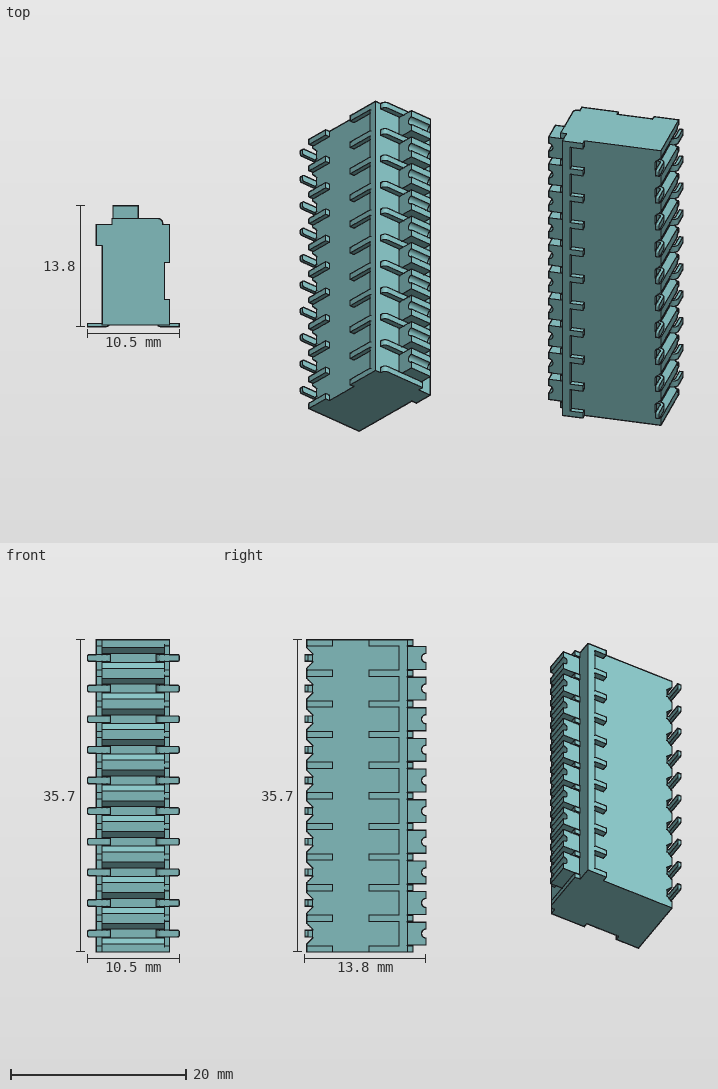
import cadquery as cq

pole_count = 10
length = 35.7
rib_width = 0.7
pitch = (length - rib_width) / pole_count

core_half_width = 3.57
core_depth = 11.5
left_flange_x = -4.25
right_flange_x = 4.15
flange_front = 10.55
left_tab_front = 9.05
right_tab_front = 7.15
foot_depth = 2.93
foot_edge_radius = 0.15

rib_left_x = -2.45
rib_right_x = 3.35
rib_back = 12.17
rib_corner_radius = 0.55

notch_depth = 0.68
notch_floor = 1.0
notch_mouth = notch_floor + 2 * notch_depth

button_left_x = -2.35
button_right_x = 0.57
button_back = 13.65
button_height = 2.65
button_groove_radius = 0.5

terminal_span = 10.5
terminal_height = 0.8
terminal_thickness = 0.4
terminal_front = -0.2
shank_inner_x = 2.6
bend_inner_radius = 0.2
bend_outer_radius = bend_inner_radius + terminal_thickness
shank_embed = 0.35
leg_end_radius = 0.2

pole_levels = [(i - (pole_count - 1) / 2) * pitch for i in range(pole_count)]
rib_levels = [(i - pole_count / 2) * pitch for i in range(pole_count + 1)]


def block(x_min, x_max, y_min, y_max, z_center, height):
    """Rectangular block centred on a Z level."""
    return (
        cq.Workplane("XY")
        .box(x_max - x_min, y_max - y_min, height, centered=(False, False, True))
        .translate((x_min, y_min, z_center))
    )


def core():
    """Long housing body with the continuous flange on both sides."""
    body = block(-core_half_width, core_half_width, 0, core_depth, 0, length)
    flange = block(left_flange_x, right_flange_x, flange_front, core_depth, 0, length)
    return body.union(flange)


def rib(level):
    """Rib on the back together with the side tabs and the foot at its level."""
    back = block(rib_left_x, rib_right_x, flange_front, rib_back, level, rib_width)
    back = back.edges("|Z and >X and >Y").fillet(rib_corner_radius)
    left_tab = block(left_flange_x, 0, left_tab_front, core_depth, level, rib_width)
    right_tab = block(0, right_flange_x, right_tab_front, core_depth, level, rib_width)
    foot = block(0, right_flange_x, 0, foot_depth, level, rib_width)
    if level > rib_levels[0]:
        foot = foot.edges("|X and <Y and <Z").fillet(foot_edge_radius)
    if level < rib_levels[-1]:
        foot = foot.edges("|X and <Y and >Z").fillet(foot_edge_radius)
    return back.union(left_tab).union(right_tab).union(foot)


def notch(level):
    """Cutter for the V-shaped notch across the front at one pole."""
    width = right_flange_x - left_flange_x
    return (
        cq.Workplane("YZ", origin=(left_flange_x, 0, level))
        .moveTo(0, -notch_mouth / 2)
        .lineTo(notch_depth, -notch_floor / 2)
        .lineTo(notch_depth, notch_floor / 2)
        .lineTo(0, notch_mouth / 2)
        .close()
        .extrude(width)
    )


def button(level):
    """Push button with a half-round groove across its back."""
    body = block(button_left_x, button_right_x, flange_front, button_back, level, button_height)
    groove = (
        cq.Workplane("YZ", origin=(button_left_x, button_back, level))
        .circle(button_groove_radius)
        .extrude(button_right_x - button_left_x)
    )
    return body.cut(groove)


def terminal(level):
    """Right-hand (+X) terminal of one pole."""
    shank_outer_x = shank_inner_x + terminal_thickness
    shank_end = notch_depth + shank_embed
    leg_back = terminal_front + terminal_thickness
    leg_end = terminal_span / 2
    bend_x = shank_inner_x + bend_outer_radius
    bend_y = terminal_front + bend_outer_radius
    bar = (
        cq.Workplane("XY", origin=(0, 0, level - terminal_height / 2))
        .moveTo(shank_inner_x, shank_end)
        .lineTo(shank_inner_x, bend_y)
        .radiusArc((bend_x, terminal_front), -bend_outer_radius)
        .lineTo(leg_end, terminal_front)
        .lineTo(leg_end, leg_back)
        .lineTo(bend_x, leg_back)
        .radiusArc((shank_outer_x, bend_y), bend_inner_radius)
        .lineTo(shank_outer_x, shank_end)
        .close()
        .extrude(terminal_height)
    )
    return bar.edges("|Y and >X").fillet(leg_end_radius)


result = core()
for rib_level in rib_levels:
    result = result.union(rib(rib_level))

for pole_level in pole_levels:
    right_terminal = terminal(pole_level)
    left_terminal = right_terminal.mirror("YZ")
    result = result.cut(notch(pole_level)).union(button(pole_level))
    result = result.union(right_terminal).union(left_terminal)